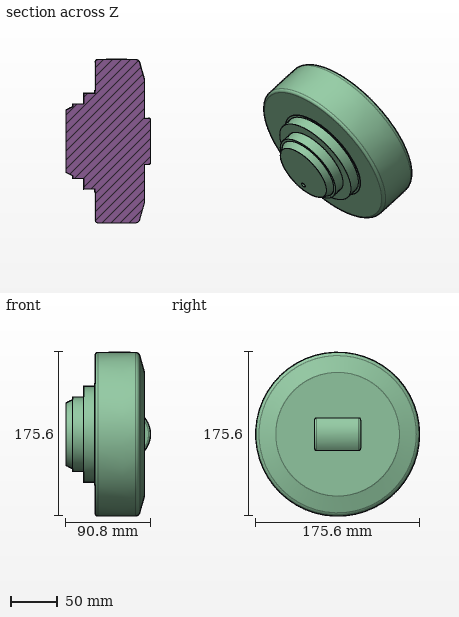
import cadquery as cq
import math

stub_chamfer_end = 7.4
stub_end = 19.1
collar_end = 31.0
wheel_back = 31.5
wheel_front = 84.3
overall_length = 90.8

stub_tip_radius = 33.4
stub_cone_radius = 37.2
stub_radius = 40.0
collar_radius = 51.5
back_ring_radius = 54.1
wheel_radius = 87.8
front_face_radius = 66.2

back_fillet = 3.0
front_fillet = 5.0
shoulder_x = 79.2
shoulder_radius = 84.1
crown_rise = 0.2

roller_radius = 27.0
roller_length = 49.7
roller_fillet = 2.3

hole_diameter = 5.1
hole_offset = 23.5
hole_depth = 7.0
drill_point_angle = 118


def make_wheel():
    """Revolve the stub, collar and crowned wheel about the X axis."""
    edge_radius = wheel_radius - crown_rise
    tread_start = wheel_back + back_fillet
    cone_angle = math.atan2(wheel_front - shoulder_x, shoulder_radius - front_face_radius)
    tread_end = shoulder_x - front_fillet * math.cos(cone_angle)
    back_mid = back_fillet * (1 - math.sqrt(0.5))
    front_turn = (math.pi / 2 - cone_angle) / 2
    front_mid_x = tread_end + front_fillet * math.sin(front_turn)
    front_mid_radius = edge_radius - front_fillet * (1 - math.cos(front_turn))
    return (
        cq.Workplane("XY")
        .moveTo(0, 0)
        .lineTo(0, stub_tip_radius)
        .lineTo(stub_chamfer_end, stub_cone_radius)
        .lineTo(stub_chamfer_end, stub_radius)
        .lineTo(stub_end, stub_radius)
        .lineTo(stub_end, collar_radius)
        .lineTo(collar_end, collar_radius)
        .lineTo(collar_end, back_ring_radius)
        .lineTo(wheel_back, back_ring_radius)
        .lineTo(wheel_back, edge_radius - back_fillet)
        .threePointArc((wheel_back + back_mid, edge_radius - back_mid), (tread_start, edge_radius))
        .threePointArc(((tread_start + tread_end) / 2, wheel_radius), (tread_end, edge_radius))
        .threePointArc((front_mid_x, front_mid_radius), (shoulder_x, shoulder_radius))
        .lineTo(wheel_front, front_face_radius)
        .lineTo(wheel_front, 0)
        .close()
        .revolve(360, (0, 0, 0), (1, 0, 0))
    )


def make_roller():
    """Build the rounded roller that stands proud of the front face."""
    return (
        cq.Workplane("XZ")
        .center(overall_length - roller_radius, 0)
        .circle(roller_radius)
        .extrude(roller_length / 2, both=True)
        .edges()
        .fillet(roller_fillet)
    )


def make_hole():
    """Build the drilled hole, with its conical bottom, as a solid to remove."""
    hole_radius = hole_diameter / 2
    point_length = hole_radius / math.tan(math.radians(drill_point_angle / 2))
    return (
        cq.Workplane("XY")
        .polyline([
            (0, 0),
            (0, hole_radius),
            (hole_depth, hole_radius),
            (hole_depth + point_length, 0),
        ])
        .close()
        .revolve(360, (0, 0, 0), (1, 0, 0))
        .translate((0, 0, -hole_offset))
    )


result = make_wheel().union(make_roller()).cut(make_hole())